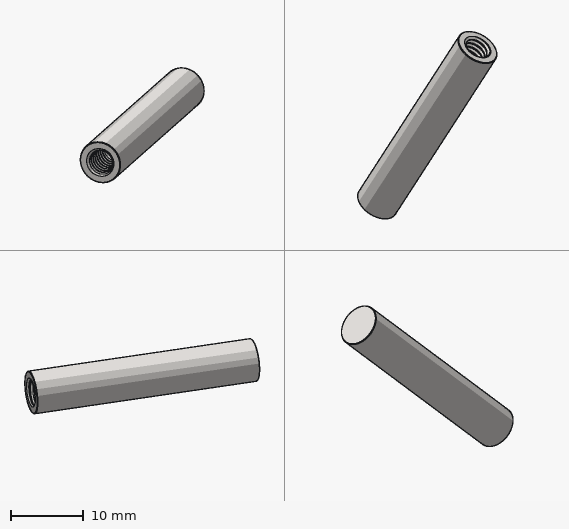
import cadquery as cq
import math

LENGTH = 32.0
DIAMETER = 5.95
EDGE_CHAMFER = 0.1
NEAR_END = -LENGTH / 2

THREAD_MAJOR = 4.0
THREAD_MINOR = 3.3
THREAD_PITCH = 0.7
THREAD_LENGTH = 6.0
HOLE_DEPTH = 10.0
COUNTERSINK_ANGLE = 120.0
DRILL_TIP_ANGLE = 120.0

MAJOR_RADIUS = THREAD_MAJOR / 2
MINOR_RADIUS = THREAD_MINOR / 2
THREAD_DEPTH = MAJOR_RADIUS - MINOR_RADIUS

GROOVE_ROOT_WIDTH = THREAD_PITCH / 8
GROOVE_MOUTH_WIDTH = THREAD_PITCH * 3 / 4
GROOVE_OVERLAP = 0.05
THREAD_START_ANGLE = 260.0


def cone_height(radius, full_angle):
    """Axial height over which a cone of the given full angle gains the given radius."""
    return radius / math.tan(math.radians(full_angle / 2))


def pin_body():
    """Solid cylinder with both end edges chamfered."""
    cylinder = cq.Workplane("XZ", origin=(0, NEAR_END, 0)).circle(DIAMETER / 2).extrude(-LENGTH)
    return cylinder.faces("<Y or >Y").chamfer(EDGE_CHAMFER)


def drilled_hole():
    """Countersunk hole with a conical bottom, as a cutter."""
    countersink_bottom = NEAR_END + cone_height(THREAD_DEPTH, COUNTERSINK_ANGLE)
    wall_bottom = NEAR_END + HOLE_DEPTH
    tip = wall_bottom + cone_height(MINOR_RADIUS, DRILL_TIP_ANGLE)
    outline = [
        (0, NEAR_END),
        (MAJOR_RADIUS, NEAR_END),
        (MINOR_RADIUS, countersink_bottom),
        (MINOR_RADIUS, wall_bottom),
        (0, tip),
    ]
    return cq.Workplane("XY").polyline(outline).close().revolve(360, (0, 0, 0), (0, 1, 0))


def thread_groove():
    """Helical groove cutter, starting one pitch outside the end face."""
    half_root = GROOVE_ROOT_WIDTH / 2
    flank_slope = (GROOVE_MOUTH_WIDTH - GROOVE_ROOT_WIDTH) / 2 / THREAD_DEPTH
    half_inner = half_root + flank_slope * (THREAD_DEPTH + GROOVE_OVERLAP)
    inner_radius = MINOR_RADIUS - GROOVE_OVERLAP
    section = [
        (inner_radius, -half_inner),
        (MAJOR_RADIUS, -half_root),
        (MAJOR_RADIUS, half_root),
        (inner_radius, half_inner),
    ]
    helix = cq.Wire.makeHelix(THREAD_PITCH, THREAD_LENGTH + THREAD_PITCH, MINOR_RADIUS)
    groove = cq.Workplane("XZ").polyline(section).close().sweep(cq.Workplane(obj=helix), isFrenet=True)
    groove = groove.rotate((0, 0, 0), (0, 0, 1), THREAD_START_ANGLE)
    groove = groove.rotate((0, 0, 0), (1, 0, 0), -90)
    return groove.translate((0, NEAR_END - THREAD_PITCH, 0))


result = pin_body().cut(drilled_hole()).cut(thread_groove())